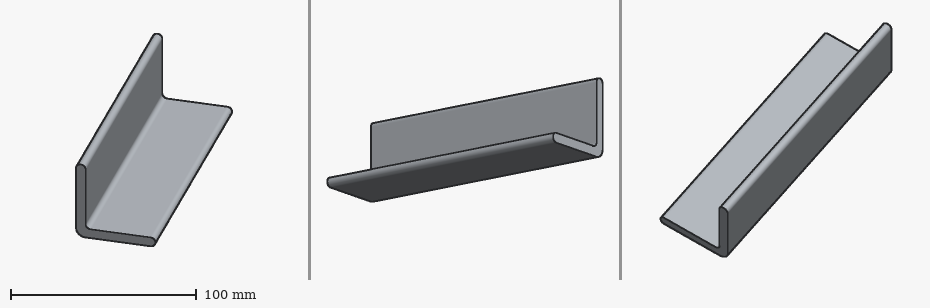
import cadquery as cq

length = 152.4
leg = 44.5
thickness = 5.5
tip_radius = thickness / 2
inner_radius = 2.7
outer_radius = 5.5

low = -leg / 2
high = leg / 2
inner = low + thickness
middle = low + tip_radius
tip_start = high - tip_radius

profile = (
    cq.Workplane("XZ", origin=(0, length / 2, 0))
    .moveTo(low, low)
    .lineTo(tip_start, low)
    .threePointArc((high, middle), (tip_start, inner))
    .lineTo(inner, inner)
    .lineTo(inner, tip_start)
    .threePointArc((middle, high), (low, tip_start))
    .close()
)
bar = profile.extrude(length)


def round_corner(body, position, radius):
    """Round the lengthwise edge that passes through (position, position) in XZ."""
    edge = cq.selectors.NearestToPointSelector((position, 0, position))
    return body.edges("|Y").edges(edge).fillet(radius)


bar = round_corner(bar, low, outer_radius)
result = round_corner(bar, inner, inner_radius)